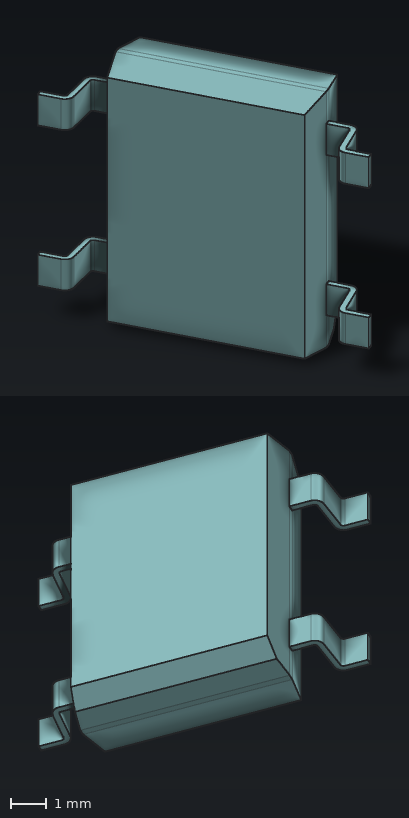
import cadquery as cq
import math

overall_span = 9.9
body_width = 6.3
body_height = 8.15

lead_thickness = 0.2
band_thickness = lead_thickness
body_depth = 2.5
half_depth = (body_depth - band_thickness) / 2
draft_angle = 9.7
bevel_leg = 0.495

lead_width = 0.99
lead_pitch = 5.1
leg_center_x = 4.02
leg_lean = 5.0
inner_bend_radius = 0.09
outer_bend_radius = inner_bend_radius + lead_thickness

housing_front = lead_thickness
band_front = housing_front + half_depth
band_back = band_front + band_thickness
housing_back = band_back + half_depth


def drafted_half(start_y, direction):
    """Half of the housing, narrowing away from the band along +Y or -Y."""
    plane = cq.Plane(origin=(0, start_y, 0), xDir=(1, 0, 0), normal=(0, direction, 0))
    return cq.Workplane(plane).rect(body_width, body_height).extrude(half_depth, taper=draft_angle)


def bevel_cutter():
    """45 degree wedge along the lower back edge of the housing."""
    draft_slope = math.tan(math.radians(draft_angle))
    back_edge_z = -body_height / 2 + half_depth * draft_slope
    wall_z = back_edge_z - bevel_leg * draft_slope
    bevel_top_z = wall_z + bevel_leg
    return (
        cq.Workplane("YZ")
        .moveTo(housing_back - 2 * bevel_leg, wall_z - bevel_leg)
        .lineTo(housing_back + bevel_leg, bevel_top_z + bevel_leg)
        .lineTo(housing_back + bevel_leg, wall_z - bevel_leg)
        .close()
        .extrude(body_width, both=True)
    )


def make_housing():
    band = cq.Workplane("XY").box(body_width, band_thickness, body_height)
    band = band.translate((0, (band_front + band_back) / 2, 0))
    housing = band.union(drafted_half(band_front, -1)).union(drafted_half(band_back, 1))
    return housing.cut(bevel_cutter())


def make_lead(side, center_z):
    """Lead on the +X (side = 1) or -X (side = -1) wall, touching the band."""
    lean = math.radians(leg_lean)
    leg_half_width = lead_thickness / math.cos(lean) / 2
    leg_middle_y = band_back / 2

    def leg_x(face, y):
        """X of the leg's outward (face = 1) or inward (face = -1) surface at height y."""
        return leg_center_x + face * leg_half_width - (y - leg_middle_y) * math.tan(lean)

    foot_bend_inner = (leg_x(1, lead_thickness), lead_thickness)
    foot_bend_outer = (leg_x(-1, 0), 0)
    shoulder_bend_inner = (leg_x(-1, band_front), band_front)
    shoulder_bend_outer = (leg_x(1, band_back), band_back)
    outline = [
        (body_width / 2, band_back),
        shoulder_bend_outer,
        foot_bend_inner,
        (overall_span / 2, lead_thickness),
        (overall_span / 2, 0),
        foot_bend_outer,
        shoulder_bend_inner,
        (body_width / 2, band_front),
    ]
    lead = cq.Workplane("XY").polyline(outline).close().extrude(lead_width / 2, both=True)

    def fillet_bend(shape, corner, radius):
        edge = cq.selectors.NearestToPointSelector((corner[0], corner[1], 0))
        return shape.edges("|Z").edges(edge).fillet(radius)

    for corner in (foot_bend_inner, shoulder_bend_inner):
        lead = fillet_bend(lead, corner, inner_bend_radius)
    for corner in (foot_bend_outer, shoulder_bend_outer):
        lead = fillet_bend(lead, corner, outer_bend_radius)
    if side < 0:
        lead = lead.mirror("YZ")
    return lead.translate((0, 0, center_z))


housing = make_housing()
leads = []
for side in (-1, 1):
    for center_z in (-lead_pitch / 2, lead_pitch / 2):
        leads.append(make_lead(side, center_z).val())

result = cq.Compound.makeCompound([housing.val(), *leads])